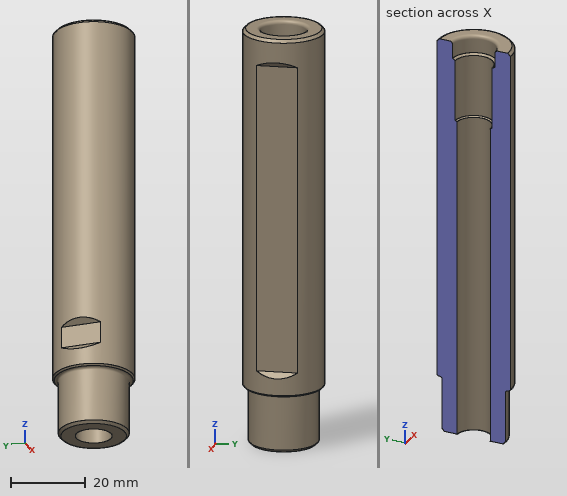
import cadquery as cq
import math

length = 116.0
body_diameter = 22.0
body_radius = body_diameter / 2
spigot_diameter = 19.0
spigot_radius = spigot_diameter / 2
spigot_length = 16.0

top_chamfer = 0.8
shoulder_chamfer = 0.5
spigot_chamfer = 0.75

root_fillet = 0.7

bore_diameter = 9.9
middle_diameter = 10.9
middle_depth = 23.2
socket_diameter = 12.5
socket_depth = 5.0
mouth_fillet = 0.99
step_cone_angle = 30.0

flat_depth = 1.5
flat_bottom = 22.6
short_flat_top = 28.5
long_flat_top = 108.1

quarter_arc_rise = 1 - math.sqrt(0.5)


def turned_body():
    """Revolve the outer profile of the body and its spigot about Z."""
    root_arc_middle = (
        spigot_radius + root_fillet * quarter_arc_rise,
        spigot_length - root_fillet * quarter_arc_rise,
    )
    profile = (
        cq.Workplane("XZ")
        .lineTo(spigot_radius - spigot_chamfer, 0)
        .lineTo(spigot_radius, spigot_chamfer)
        .lineTo(spigot_radius, spigot_length - root_fillet)
        .threePointArc(root_arc_middle, (spigot_radius + root_fillet, spigot_length))
        .lineTo(body_radius - shoulder_chamfer, spigot_length)
        .lineTo(body_radius, spigot_length + shoulder_chamfer)
        .lineTo(body_radius, length - top_chamfer)
        .lineTo(body_radius - top_chamfer, length)
        .lineTo(0, length)
        .close()
    )
    return profile.revolve(360, (0, 0), (0, 1))


def stepped_bore():
    """Cutter for the through hole, its two wider steps and the rounded mouth."""
    bore_radius = bore_diameter / 2
    middle_radius = middle_diameter / 2
    socket_radius = socket_diameter / 2
    middle_floor = length - middle_depth
    socket_floor = length - socket_depth
    cone_slope = math.tan(math.radians(step_cone_angle))
    mouth_arc_middle = (
        socket_radius + mouth_fillet * quarter_arc_rise,
        length - mouth_fillet * quarter_arc_rise,
    )
    profile = (
        cq.Workplane("XZ")
        .lineTo(bore_radius, 0)
        .lineTo(bore_radius, middle_floor - (middle_radius - bore_radius) * cone_slope)
        .lineTo(middle_radius, middle_floor)
        .lineTo(middle_radius, socket_floor - (socket_radius - middle_radius) * cone_slope)
        .lineTo(socket_radius, socket_floor)
        .lineTo(socket_radius, length - mouth_fillet)
        .threePointArc(mouth_arc_middle, (socket_radius + mouth_fillet, length))
        .lineTo(0, length)
        .close()
    )
    return profile.revolve(360, (0, 0), (0, 1))


def side_flat(side, flat_top):
    """Cutter for a flat with 45 degree ends; side is -1 for -X and +1 for +X."""
    floor_x = side * (body_radius - flat_depth)
    outer_x = side * body_radius
    profile = [
        (floor_x, flat_bottom),
        (floor_x, flat_top),
        (outer_x, flat_top + flat_depth),
        (outer_x, flat_bottom - flat_depth),
    ]
    return cq.Workplane("XZ").polyline(profile).close().extrude(body_radius, both=True)


result = (
    turned_body()
    .cut(stepped_bore())
    .cut(side_flat(-1, short_flat_top))
    .cut(side_flat(1, long_flat_top))
)